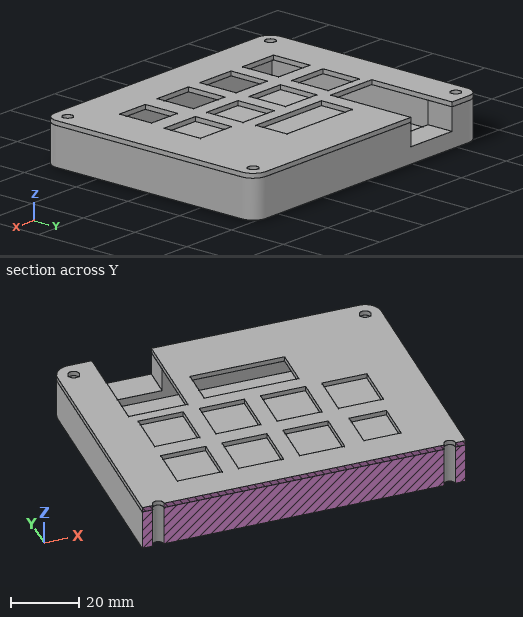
import cadquery as cq

LENGTH = 101.0
WIDTH = 81.7
HEIGHT = 14.5
PLATE_THICKNESS = 1.5
HOUSING_HEIGHT = HEIGHT - PLATE_THICKNESS
CORNER_RADIUS = 5.0

WALL = 9.3
FLOOR = 2.8
CAVITY_LENGTH = LENGTH - 2 * WALL
CAVITY_WIDTH = WIDTH - 2 * WALL

SCREW_DIAMETER = 3.4
SCREW_INSET = CORNER_RADIUS
SCREW_SPACING_X = LENGTH - 2 * SCREW_INSET
SCREW_SPACING_Y = WIDTH - 2 * SCREW_INSET

KEY_SIZE = 14.0
KEY_PITCH = 19.1
KEY_COLUMNS = 4
KEY_ROWS = 2
FIRST_KEY_X = -29.1
FIRST_KEY_Y = -0.4
ENCODER_LENGTH = 11.6
ENCODER_WIDTH = 12.4

SCREEN_LENGTH = 29.5
SCREEN_WIDTH = 12.0
SCREEN_X = 0.9
SCREEN_Y = 17.2

NOTCH_LENGTH = 18.5
NOTCH_WIDTH = 31.0
NOTCH_X = -28.7
NOTCH_Y = (WIDTH - NOTCH_WIDTH) / 2
SILL_HEIGHT = 5.5


def rounded_slab(thickness, base_height):
    """Slab with the common outline and the four screw holes."""
    return (
        cq.Workplane("XY", origin=(0, 0, base_height))
        .rect(LENGTH, WIDTH)
        .extrude(thickness)
        .edges("|Z")
        .fillet(CORNER_RADIUS)
        .faces(">Z")
        .workplane()
        .rect(SCREW_SPACING_X, SCREW_SPACING_Y, forConstruction=True)
        .vertices()
        .hole(SCREW_DIAMETER)
    )


def box_cutter(length, width, x, y, base_height):
    """Rectangular cutter reaching from a base height up to the top of the part."""
    return (
        cq.Workplane("XY", origin=(x, y, base_height))
        .rect(length, width)
        .extrude(HEIGHT - base_height)
    )


def make_housing():
    """Open-topped tray with the connector notch in its rear wall."""
    cavity = box_cutter(CAVITY_LENGTH, CAVITY_WIDTH, 0, 0, FLOOR)
    notch = box_cutter(NOTCH_LENGTH, NOTCH_WIDTH, NOTCH_X, NOTCH_Y, SILL_HEIGHT)
    return rounded_slab(HOUSING_HEIGHT, 0).cut(cavity).cut(notch)


def make_plate():
    """Cover plate with the key, encoder, screen and connector openings."""
    plate = rounded_slab(PLATE_THICKNESS, HOUSING_HEIGHT)
    for row in range(KEY_ROWS):
        for column in range(KEY_COLUMNS):
            x = FIRST_KEY_X + column * KEY_PITCH
            y = FIRST_KEY_Y - row * KEY_PITCH
            is_encoder = row == KEY_ROWS - 1 and column == KEY_COLUMNS - 1
            length = ENCODER_LENGTH if is_encoder else KEY_SIZE
            width = ENCODER_WIDTH if is_encoder else KEY_SIZE
            plate = plate.cut(box_cutter(length, width, x, y, HOUSING_HEIGHT))
    screen = box_cutter(SCREEN_LENGTH, SCREEN_WIDTH, SCREEN_X, SCREEN_Y, HOUSING_HEIGHT)
    notch = box_cutter(NOTCH_LENGTH, NOTCH_WIDTH, NOTCH_X, NOTCH_Y, HOUSING_HEIGHT)
    return plate.cut(screen).cut(notch)


housing = make_housing()
plate = make_plate()

result = cq.Compound.makeCompound([housing.val(), plate.val()])